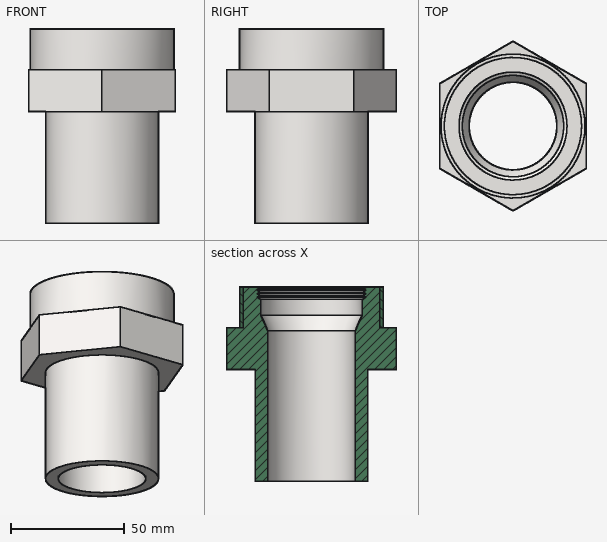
import cadquery as cq
import math

total_height = 86.0
hex_bottom = 49.4
hex_top = 67.9

spigot_diameter = 50.05
hex_across_flats = 65.0
hex_across_corners = hex_across_flats / math.cos(math.radians(30))
ring_outer_diameter = 63.7
ring_inner_diameter = 60.7

throat_radius = 19.35
crest_radius = 22.45
root_radius = 23.9
thread_pitch = 1.55
full_groove_count = 3
cone_top = total_height - 12.55
cone_bottom = total_height - 19.4


def make_bore():
    """Revolved cutter with a half groove at the mouth and full V grooves below it."""
    crest_height = total_height - thread_pitch / 2
    profile = [(0, total_height), (root_radius, total_height), (crest_radius, crest_height)]
    for groove in range(full_groove_count):
        groove_top = crest_height - groove * thread_pitch
        profile.append((root_radius, groove_top - thread_pitch / 2))
        profile.append((crest_radius, groove_top - thread_pitch))
    profile += [
        (crest_radius, cone_top),
        (throat_radius, cone_bottom),
        (throat_radius, 0),
        (0, 0),
    ]
    return cq.Workplane("XZ").polyline(profile).close().revolve(360, (0, 0), (0, 1))


def make_adapter():
    """Spigot, hexagon and threaded socket in one piece, with corners of the hexagon on Y."""
    spigot = cq.Workplane("XY").circle(spigot_diameter / 2).extrude(hex_bottom)
    hexagon = (
        cq.Workplane("XY")
        .workplane(offset=hex_bottom)
        .transformed(rotate=(0, 0, 90))
        .polygon(6, hex_across_corners)
        .extrude(hex_top - hex_bottom)
    )
    socket = (
        cq.Workplane("XY")
        .workplane(offset=hex_top)
        .circle(ring_inner_diameter / 2)
        .extrude(total_height - hex_top)
    )
    return spigot.union(hexagon).union(socket).cut(make_bore())


def make_reinforcing_ring():
    """Thin ring around the socket, resting on the hexagon and flush with the mouth."""
    return (
        cq.Workplane("XY")
        .workplane(offset=hex_top)
        .circle(ring_outer_diameter / 2)
        .circle(ring_inner_diameter / 2)
        .extrude(total_height - hex_top)
    )


adapter = make_adapter()
reinforcing_ring = make_reinforcing_ring()

result = cq.Compound.makeCompound([adapter.val(), reinforcing_ring.val()])